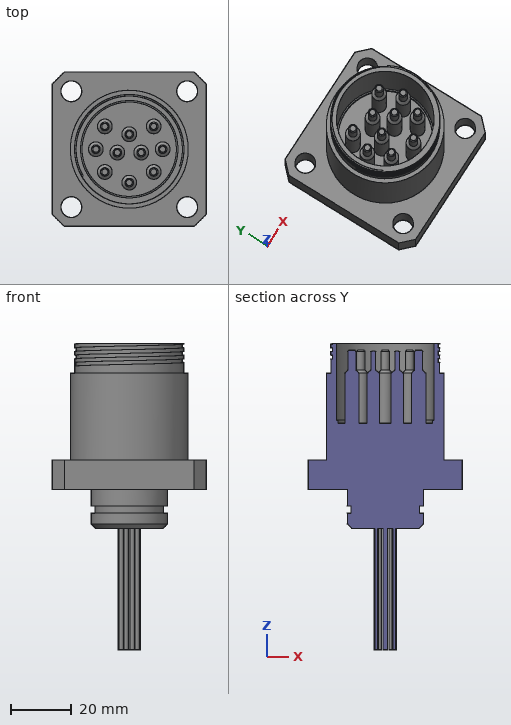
import cadquery as cq
import math

total_height = 100.7
shoulder_z = 90.9
flange_top_z = 62.4
flange_bottom_z = 52.7
stem_groove_top_z = 47.2
stem_groove_bottom_z = 44.9
stem_bottom_z = 39.9

flange_side = 50.8
flange_corner_chamfer = 4.0
mount_hole_diameter = 6.7
mount_hole_spacing = 38.1

barrel_diameter = 38.8
neck_diameter = 36.0
stem_diameter = 25.2
stem_groove_diameter = 22.7
stem_chamfer = 1.5

socket_diameter = 32.0
socket_floor_diameter = 31.0
socket_step_z = 75.5
socket_floor_z = 74.5

thread_pitch = 2.4
thread_groove_width = 1.2
thread_groove_depth = 0.5
thread_start_z = 93.9
thread_turns = 3.3
thread_start_angle = 180.0

pin_diameter = 2.8
pin_tip_chamfer = 0.4
pin_top_z = 98.5
collar_diameter = 4.8
collar_top_z = 91.9
collar_cone_height = 1.0
outer_pin_radius = 11.0
outer_pin_angles = (-137.0, -90.0, -43.0, 0.0, 43.0, 137.0, 180.0)
inner_pin_top_y = 4.9
inner_pin_pair_x = 3.9
inner_pin_pair_y = -1.1

wire_diameter = 1.5
wire_ring_radius = 3.0
wire_ring_count = 9
wire_ring_start_angle = 90.0

overlap = 1.0


def cylinder(diameter, bottom_z, top_z):
    """Upright cylinder on the part axis."""
    return cq.Workplane("XY").workplane(offset=bottom_z).circle(diameter / 2).extrude(top_z - bottom_z)


def polar_point(radius, angle):
    return (radius * math.cos(math.radians(angle)), radius * math.sin(math.radians(angle)))


def make_flange():
    plate = (
        cq.Workplane("XY")
        .workplane(offset=flange_bottom_z)
        .rect(flange_side, flange_side)
        .extrude(flange_top_z - flange_bottom_z)
        .edges("|Z")
        .chamfer(flange_corner_chamfer)
    )
    return (
        plate.faces(">Z")
        .workplane()
        .rect(mount_hole_spacing, mount_hole_spacing, forConstruction=True)
        .vertices()
        .hole(mount_hole_diameter)
    )


def make_stem():
    lower_collar = cylinder(stem_diameter, stem_bottom_z, stem_groove_bottom_z).faces("<Z").chamfer(stem_chamfer)
    upper_collar = cylinder(stem_diameter, stem_groove_top_z, flange_bottom_z)
    core = cylinder(stem_groove_diameter, stem_groove_bottom_z, stem_groove_top_z)
    return lower_collar.union(core).union(upper_collar)


def make_thread_groove():
    """Rectangular section swept along a right-handed helix that runs out through the top rim."""
    neck_radius = neck_diameter / 2
    root_radius = neck_radius - thread_groove_depth
    helix = cq.Wire.makeHelix(thread_pitch, thread_turns * thread_pitch, neck_radius)
    section_width = thread_groove_depth + overlap
    section_center_x = root_radius + section_width / 2
    return (
        cq.Workplane("XZ")
        .center(section_center_x, 0)
        .rect(section_width, thread_groove_width)
        .sweep(cq.Workplane(obj=helix), isFrenet=True)
        .rotate((0, 0, 0), (0, 0, 1), thread_start_angle)
        .translate((0, 0, thread_start_z))
    )


def make_threaded_neck():
    """The groove is cut in an over-long neck, which is then trimmed flat at the rim."""
    long_neck = cylinder(neck_diameter, shoulder_z, total_height + 2 * thread_pitch)
    rim_trim = cylinder(barrel_diameter, shoulder_z, total_height)
    return long_neck.cut(make_thread_groove()).intersect(rim_trim)


def make_socket():
    return cylinder(socket_diameter, socket_step_z, total_height).union(
        cylinder(socket_floor_diameter, socket_floor_z, socket_step_z)
    )


def make_pins():
    points = [polar_point(outer_pin_radius, angle) for angle in outer_pin_angles]
    points += [
        (0, inner_pin_top_y),
        (-inner_pin_pair_x, inner_pin_pair_y),
        (inner_pin_pair_x, inner_pin_pair_y),
    ]
    base_z = socket_floor_z - overlap
    pin_radius = pin_diameter / 2
    collar_radius = collar_diameter / 2
    half_profile = [
        (0, base_z),
        (collar_radius, base_z),
        (collar_radius, collar_top_z - collar_cone_height),
        (pin_radius, collar_top_z),
        (pin_radius, pin_top_z - pin_tip_chamfer),
        (pin_radius - pin_tip_chamfer, pin_top_z),
        (0, pin_top_z),
    ]
    pin = cq.Workplane("XZ").polyline(half_profile).close().revolve(360, (0, 0), (0, 1)).val()
    return cq.Workplane("XY").pushPoints(points).eachpoint(lambda place: pin.moved(place))


def make_wires():
    """One central wire with an even ring around it."""
    points = [(0, 0)]
    for index in range(wire_ring_count):
        angle = wire_ring_start_angle + index * 360.0 / wire_ring_count
        points.append(polar_point(wire_ring_radius, angle))
    return cq.Workplane("XY").pushPoints(points).circle(wire_diameter / 2).extrude(stem_bottom_z + overlap)


result = (
    make_flange()
    .union(cylinder(barrel_diameter, flange_top_z, shoulder_z))
    .union(make_threaded_neck())
    .union(make_stem())
    .cut(make_socket())
    .union(make_pins())
    .union(make_wires())
)